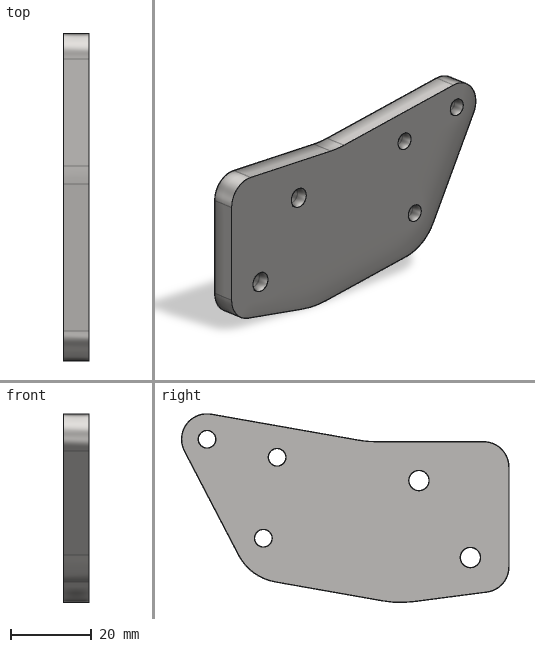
import cadquery as cq
import math

thickness = 6.3
length = 80.95
corner_radius = 6.3
bend_radius = 25.4
heel_radius = 12.7

sweep_angle = 10.0
rake_angle = 62.5

square_end_y = length / 2
top_z = 16.4
square_end_bottom_z = -20.1
bottom_bend = (13.1, -23.6)

tip_center = (corner_radius - length / 2, 17.0)

small_hole_diameter = 4.3
large_hole_diameter = 4.9
small_holes = [tip_center, (-16.8, 12.55), (-20.2, -7.45)]
large_holes = [(18.2, 6.8), (30.9, -12.2)]


def direction(angle):
    """Unit vector rising toward -Y at an angle in degrees."""
    return (-math.cos(math.radians(angle)), math.sin(math.radians(angle)))


def tip_tangent_point(angle, side):
    """Point where an edge at this angle touches the tip; side is +1 above, -1 below."""
    along_y, along_z = direction(angle)
    return (
        tip_center[0] + side * corner_radius * along_z,
        tip_center[1] - side * corner_radius * along_y,
    )


def intersection(point_a, angle_a, point_b, angle_b):
    """Crossing of two lines, each given by a point and an angle."""
    ay, az = direction(angle_a)
    by, bz = direction(angle_b)
    gap_y = point_b[0] - point_a[0]
    gap_z = point_b[1] - point_a[1]
    distance = (gap_y * bz - gap_z * by) / (ay * bz - az * by)
    return (point_a[0] + distance * ay, point_a[1] + distance * az)


upper_tangent = tip_tangent_point(sweep_angle, 1)
raked_tangent = tip_tangent_point(rake_angle, -1)
top_bend = intersection(upper_tangent, sweep_angle, (square_end_y, top_z), 0)
tip = intersection(upper_tangent, sweep_angle, raked_tangent, rake_angle)
heel = intersection(bottom_bend, sweep_angle, raked_tangent, rake_angle)
square_top = (square_end_y, top_z)
square_bottom = (square_end_y, square_end_bottom_z)

corners = [
    (square_top, corner_radius),
    (top_bend, bend_radius),
    (tip, corner_radius),
    (heel, heel_radius),
    (bottom_bend, bend_radius),
    (square_bottom, corner_radius),
]

plate = (
    cq.Workplane("YZ")
    .polyline([point for point, radius in corners])
    .close()
    .extrude(thickness / 2, both=True)
)

for point, radius in corners:
    edge = cq.selectors.NearestToPointSelector((0, *point))
    plate = plate.edges("|X").edges(edge).fillet(radius)


def drill(body, centers, diameter):
    """Cut round holes straight through the thickness."""
    pins = cq.Workplane("YZ").pushPoints(centers).circle(diameter / 2).extrude(thickness, both=True)
    return body.cut(pins)


plate = drill(plate, small_holes, small_hole_diameter)
result = drill(plate, large_holes, large_hole_diameter)